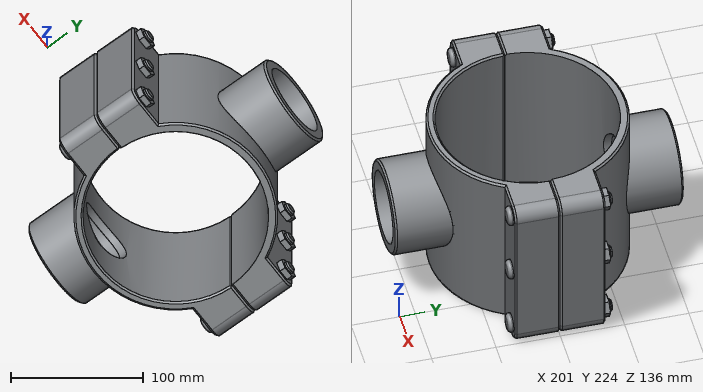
import cadquery as cq
import math

clamp_height = 136.0
clamp_width = 201.0
bore_radius = 70.0
ring_wall = 7.0
ring_radius = bore_radius + ring_wall
flange_depth = 35.2
flange_corner_radius = 10.0
edge_chamfer = 1.5

tube_end = 112.0
tube_diameter = 73.7
tube_bore_diameter = 50.0
socket_diameter = 56.7
socket_depth = 30.0
tube_seat_depth = 1.0
tube_seat_radius = ring_radius - tube_seat_depth

bolt_x = 88.5
bolt_z = 56.0
bolt_centers = [(x, z) for x in (-bolt_x, bolt_x) for z in (-bolt_z, 0, bolt_z)]
head_diameter = 15.0
head_height = 3.8
head_round = 3.0
nut_across_flats = 15.0
nut_across_corners = nut_across_flats / math.cos(math.pi / 6)
nut_height = 4.7
bolt_diameter = 10.0
bolt_tip_height = 2.7
bolt_tip_chamfer = 1.3


def facing_back(y):
    """Workplane at a given Y whose normal points along +Y."""
    return cq.Workplane(cq.Plane(origin=(0, y, 0), xDir=(1, 0, 0), normal=(0, 1, 0)))


def rod(diameter, start, end):
    """Cylinder along the Y axis between two Y positions."""
    return facing_back(start).circle(diameter / 2).extrude(end - start)


def upright_cylinder(radius):
    """Cylinder around the Z axis, as tall as the clamp."""
    return cq.Workplane("XY").cylinder(clamp_height, radius)


def half_blank():
    """Back half of the ring and flanges, before the main bore is cut."""
    ring = upright_cylinder(ring_radius).faces("<Z or >Z").chamfer(edge_chamfer)
    flanges = (
        cq.Workplane("XY")
        .box(clamp_width, 2 * flange_depth, clamp_height)
        .edges("|Y").fillet(flange_corner_radius)
        .faces("<Y or >Y").chamfer(edge_chamfer)
    )
    back_side = cq.Workplane("XY").box(
        clamp_width, ring_radius, clamp_height, centered=(True, False, True)
    )
    return ring.union(flanges).intersect(back_side)


def bore_rim(side):
    """Cone that chamfers the end of the main bore at the top (side 1) or the bottom (side -1)."""
    start = cq.Vector(0, 0, side * (clamp_height / 2 - edge_chamfer))
    cone = cq.Solid.makeCone(
        bore_radius, bore_radius + edge_chamfer, edge_chamfer, start, cq.Vector(0, 0, side)
    )
    return cq.Workplane(cone)


def back_half():
    """Half with a joint chamfer on the outer edges only, so its bore stays sharp."""
    blank = half_blank().faces("<Y").chamfer(edge_chamfer)
    return blank.cut(upright_cylinder(bore_radius))


def front_half():
    """Half with every joint edge and both bore rims chamfered."""
    bored = half_blank().cut(upright_cylinder(bore_radius))
    chamfered = bored.faces("<Y").chamfer(edge_chamfer)
    for side in (-1, 1):
        chamfered = chamfered.cut(bore_rim(side))
    return chamfered.mirror("XZ")


def bolt_head():
    face = -flange_depth
    return rod(head_diameter, face - head_height, face).faces("<Y").edges().fillet(head_round)


def nut_and_tip():
    nut_top = flange_depth + nut_height
    nut = facing_back(flange_depth).polygon(6, nut_across_corners).extrude(nut_height)
    tip = rod(bolt_diameter, nut_top, nut_top + bolt_tip_height).faces(">Y").chamfer(bolt_tip_chamfer)
    return nut.union(tip)


def back_tube():
    """Outlet tube with a socket at its mouth and an inner end curved to fit its seat."""
    return (
        rod(tube_diameter, 0, tube_end)
        .faces(">Y").edges().chamfer(edge_chamfer)
        .cut(upright_cylinder(tube_seat_radius))
        .cut(rod(tube_bore_diameter, 0, tube_end))
        .cut(rod(socket_diameter, tube_end - socket_depth, tube_end))
    )


def make_clamp():
    """Both halves joined at the flanges, with the bolts and the openings for the tubes."""
    body = back_half().union(front_half())
    for x, z in bolt_centers:
        body = body.union(bolt_head().translate((x, 0, z)))
        body = body.union(nut_and_tip().translate((x, 0, z)))
    openings = rod(tube_bore_diameter, -tube_end, tube_end)
    seats = rod(tube_diameter, -tube_end, tube_end).cut(upright_cylinder(tube_seat_radius))
    return body.cut(openings).cut(seats)


clamp = make_clamp()
tubes = [back_tube(), back_tube().mirror("XZ")]

result = cq.Compound.makeCompound([clamp.val(), *[tube.val() for tube in tubes]])